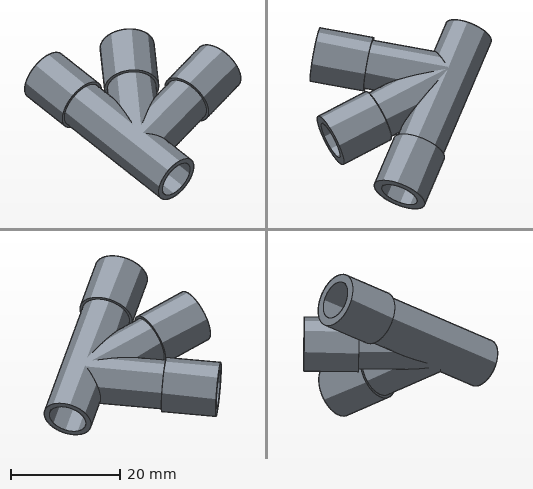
import cadquery as cq
import math

overall_length = 35.0
arm_length = 25.0
socket_length = 10.0
socket_diameter = 10.0
tube_diameter = 9.0
bore_diameter = 7.0

main_angle = 180
branch_angles = [141, 100]

outlet_length = overall_length - arm_length


def cylinder_along(angle, diameter, start, end):
    """Cylinder spanning start to end along a ray from the junction."""
    heading = math.radians(angle)
    direction = cq.Vector(math.cos(heading), math.sin(heading), 0)
    return cq.Workplane(
        cq.Solid.makeCylinder(diameter / 2, end - start, direction * start, direction)
    )


def arm_outside(angle, tube_start):
    """Tube with a thicker socket at its far end."""
    tube = cylinder_along(angle, tube_diameter, tube_start, arm_length)
    socket = cylinder_along(angle, socket_diameter, arm_length - socket_length, arm_length)
    return tube.union(socket)


result = arm_outside(main_angle, -outlet_length)
for branch_angle in branch_angles:
    result = result.union(arm_outside(branch_angle, 0))

result = result.cut(cylinder_along(main_angle, bore_diameter, -outlet_length, arm_length))
for branch_angle in branch_angles:
    result = result.cut(cylinder_along(branch_angle, bore_diameter, 0, arm_length))